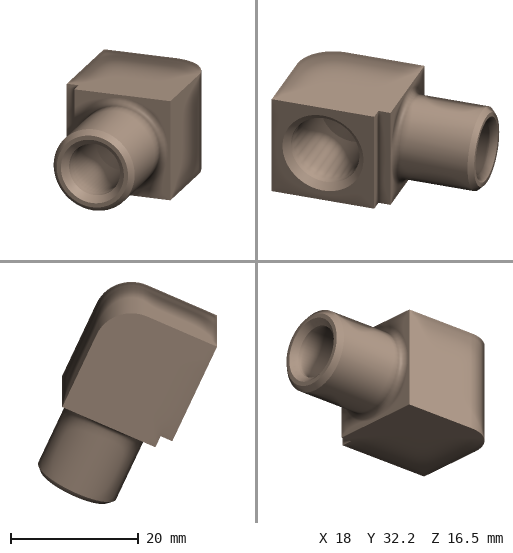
import cadquery as cq
import math

height = 16.5
width = 18.0
overall_length = 32.2
spigot_length = 13.2
body_length = overall_length - spigot_length
right_face = 8.18
left_face = right_face - width
notch = 2.0
corner_radius = 6.0

spigot_diameter = 13.5
spigot_chamfer = 0.8
root_fillet = 1.0

bore_diameter = 8.5
bore_mouth_diameter = 10.5
bore_depth = spigot_length

socket_mouth_diameter = 13.43
socket_small_diameter = 10.5
socket_depth = 13.85
socket_taper = 1 / 16
socket_large_diameter = socket_small_diameter + socket_depth * socket_taper
socket_y = (notch + body_length) / 2
socket_z = 0.15

drill_point_angle = 118.0


def blind_hole(mouth_diameter, start_diameter, end_diameter, depth):
    """Solid along +Y from Y = 0: 45 degree countersink, wall to the given depth, conical point."""
    mouth_radius = mouth_diameter / 2
    start_radius = start_diameter / 2
    end_radius = end_diameter / 2
    countersink = mouth_radius - start_radius
    point_length = end_radius / math.tan(math.radians(drill_point_angle / 2))
    return (
        cq.Workplane("XY")
        .moveTo(0, 0)
        .lineTo(mouth_radius, 0)
        .lineTo(start_radius, countersink)
        .lineTo(end_radius, depth)
        .lineTo(0, depth + point_length)
        .close()
        .revolve(360, (0, 0, 0), (0, 1, 0))
    )


def make_body():
    """Block with one rounded vertical corner and a notched corner beside the spigot."""
    block = (
        cq.Workplane("XY", origin=(0, 0, -height / 2))
        .moveTo(left_face, body_length)
        .lineTo(left_face, notch)
        .lineTo(left_face + notch, notch)
        .lineTo(left_face + notch, 0)
        .lineTo(right_face, 0)
        .lineTo(right_face, body_length)
        .close()
        .extrude(height)
    )
    return block.edges("|Z and >X and >Y").fillet(corner_radius)


def make_spigot():
    """Spigot along -Y with a chamfered tip and a concave fillet at its root."""
    radius = spigot_diameter / 2
    fillet_middle = root_fillet * (1 - math.sqrt(0.5))
    return (
        cq.Workplane("XY")
        .moveTo(0, -spigot_length)
        .lineTo(radius - spigot_chamfer, -spigot_length)
        .lineTo(radius, spigot_chamfer - spigot_length)
        .lineTo(radius, -root_fillet)
        .threePointArc((radius + fillet_middle, -fillet_middle), (radius + root_fillet, 0))
        .lineTo(0, 0)
        .close()
        .revolve(360, (0, 0, 0), (0, 1, 0))
    )


bore = blind_hole(bore_mouth_diameter, bore_diameter, bore_diameter, bore_depth)
bore = bore.translate((0, -spigot_length, 0))

socket = blind_hole(socket_mouth_diameter, socket_large_diameter, socket_small_diameter, socket_depth)
socket = socket.rotate((0, 0, 0), (0, 0, 1), -90).translate((left_face, socket_y, socket_z))

result = make_body().union(make_spigot()).cut(bore).cut(socket)